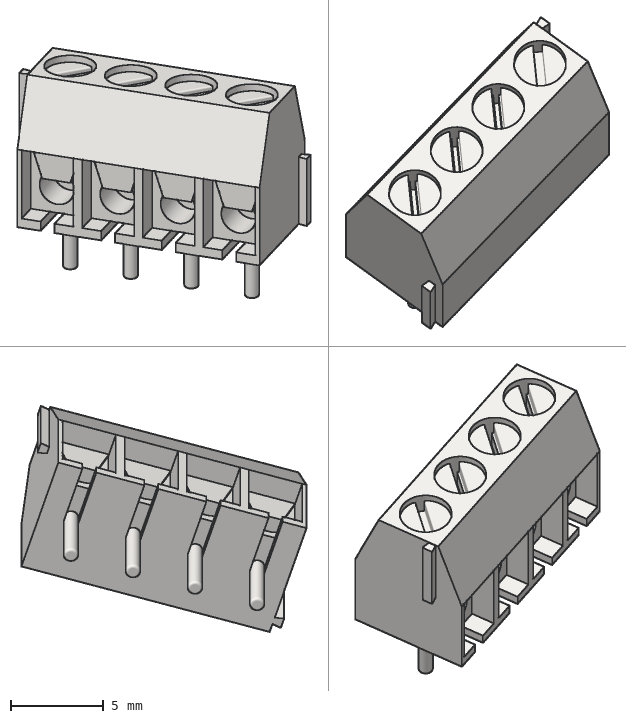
import cadquery as cq
import math

overall_length = 15.0
body_length = 14.0
body_depth = 6.8
body_height = 8.38
shoulder_height = 4.59
roof_depth = 3.8

pole_count = 4
pitch = body_length / pole_count
pole_positions = [(pole - (pole_count - 1) / 2) * pitch for pole in range(pole_count)]
front_y = -body_depth / 2

chamber_width = 3.0
chamber_depth = 1.4
chamber_floor = 0.55
chamber_back_y = front_y + chamber_depth
wire_hole_diameter = 2.0
wire_hole_height = 2.05
wire_hole_depth = -chamber_back_y
guard_bottom = 2.49
guard_bottom_width = 1.62
guard_thickness = 0.1

pin_diameter = 0.8
pin_length = 3.51
pin_rounding = 0.15

screw_diameter = 2.8
screw_recess = 0.4
screw_height = 2.7
screw_top = body_height - screw_recess
slot_width = 0.5
slot_depth = 0.8
slot_rounding = 0.1
channel_depth = 0.9
slot_angle = 45

key_tip_width = 0.6
key_root_width = 0.42
key_tip_land = 0.08
left_key_y = -1.52
left_key_height = 3.98
left_key_drop = 0.03
left_key_bottom = body_height - left_key_drop - left_key_height
right_key_y = 2.67
right_key_height = 3.96


def make_block():
    """Housing block with sloping front and rear shoulders."""
    return (
        cq.Workplane("YZ")
        .moveTo(-body_depth / 2, 0)
        .lineTo(body_depth / 2, 0)
        .lineTo(body_depth / 2, shoulder_height)
        .lineTo(roof_depth / 2, body_height)
        .lineTo(-roof_depth / 2, body_height)
        .lineTo(-body_depth / 2, shoulder_height)
        .close()
        .extrude(body_length / 2, both=True)
    )


def make_key(side, y, bottom, height):
    """Dovetail key on the end at side = -1 or +1, widening away from the housing."""
    root_x = side * body_length / 2
    tip_x = side * overall_length / 2
    land_x = tip_x - side * key_tip_land
    return (
        cq.Workplane("XY", origin=(0, y, bottom))
        .moveTo(root_x, -key_root_width / 2)
        .lineTo(land_x, -key_tip_width / 2)
        .lineTo(tip_x, -key_tip_width / 2)
        .lineTo(tip_x, key_tip_width / 2)
        .lineTo(land_x, key_tip_width / 2)
        .lineTo(root_x, key_root_width / 2)
        .close()
        .extrude(height)
    )


def make_chamber(x):
    """Space of one wire entry: the front chamber and the round wire hole behind it."""
    chamber = (
        cq.Workplane("XY")
        .box(chamber_width, chamber_depth, shoulder_height - chamber_floor, centered=(True, False, False))
        .translate((x, front_y, chamber_floor))
    )
    wire_hole = (
        cq.Workplane("XZ", origin=(x, chamber_back_y, wire_hole_height))
        .circle(wire_hole_diameter / 2)
        .extrude(-wire_hole_depth)
    )
    return chamber.union(wire_hole)


def make_guard(x):
    """Tapered block closing the top of the wire hole and standing slightly out into the chamber."""
    return (
        cq.Workplane("XZ", origin=(x, chamber_back_y - guard_thickness, 0))
        .moveTo(-chamber_width / 2, shoulder_height)
        .lineTo(chamber_width / 2, shoulder_height)
        .lineTo(guard_bottom_width / 2, guard_bottom)
        .lineTo(-guard_bottom_width / 2, guard_bottom)
        .close()
        .extrude(-(guard_thickness + wire_hole_depth))
    )


def make_pin_slot(x):
    """Slot through the chamber floor, open at the front and rounded where the pin sits."""
    straight = (
        cq.Workplane("XY")
        .box(pin_diameter, -front_y, chamber_floor, centered=(True, False, False))
        .translate((x, front_y, 0))
    )
    round_end = cq.Workplane("XY", origin=(x, 0, 0)).circle(pin_diameter / 2).extrude(chamber_floor)
    return straight.union(round_end)


def make_screw_bore(x):
    """Round bore from the roof down to the bottom of the screw."""
    return (
        cq.Workplane("XY", origin=(x, 0, screw_top - screw_height))
        .circle(screw_diameter / 2)
        .extrude(screw_height + screw_recess)
    )


def make_housing():
    housing = make_block()
    housing = housing.union(make_key(-1, left_key_y, left_key_bottom, left_key_height))
    housing = housing.union(make_key(1, right_key_y, 0, right_key_height))
    for x in pole_positions:
        housing = housing.cut(make_chamber(x))
        housing = housing.union(make_guard(x))
        housing = housing.cut(make_pin_slot(x))
        housing = housing.cut(make_screw_bore(x))
    return housing


def make_pin(x):
    """Round solder pin with a rounded tip, reaching up through the housing floor."""
    return (
        cq.Workplane("XY", origin=(x, 0, -pin_length))
        .circle(pin_diameter / 2)
        .extrude(pin_length + chamber_floor)
        .faces("<Z")
        .fillet(pin_rounding)
    )


def make_slot_cutter():
    """Driver slot with rounded upper edges and rounded floor corners, along X from z = 0 down."""
    half_wall = slot_width / 2
    half_floor = half_wall - slot_rounding
    half_mouth = half_wall + slot_rounding
    wall_bottom = slot_rounding - slot_depth
    corner = slot_rounding * math.sqrt(0.5)
    return (
        cq.Workplane("YZ")
        .moveTo(-half_mouth, 0)
        .threePointArc((-half_mouth + corner, corner - slot_rounding), (-half_wall, -slot_rounding))
        .lineTo(-half_wall, wall_bottom)
        .threePointArc((-half_floor - corner, wall_bottom - corner), (-half_floor, -slot_depth))
        .lineTo(half_floor, -slot_depth)
        .threePointArc((half_floor + corner, wall_bottom - corner), (half_wall, wall_bottom))
        .lineTo(half_wall, -slot_rounding)
        .threePointArc((half_mouth - corner, corner - slot_rounding), (half_mouth, 0))
        .close()
        .extrude(screw_diameter, both=True)
    )


def make_channel_cutter():
    """Narrow channel below the slot floor, between its rounded corners."""
    return (
        cq.Workplane("XY", origin=(0, 0, -slot_depth))
        .rect(2 * screw_diameter, slot_width - 2 * slot_rounding)
        .extrude(-channel_depth)
    )


def make_screw(x, has_channel):
    """Slotted screw; the slot runs diagonally and may have a deeper channel along its floor."""
    screw = cq.Workplane("XY").circle(screw_diameter / 2).extrude(-screw_height)
    screw = screw.cut(make_slot_cutter())
    if has_channel:
        screw = screw.cut(make_channel_cutter())
    return screw.rotate((0, 0, 0), (0, 0, 1), slot_angle).translate((x, 0, screw_top))


housing = make_housing()
pins = [make_pin(x) for x in pole_positions]
screws = [make_screw(x, pole > 0) for pole, x in enumerate(pole_positions)]

result = cq.Compound.makeCompound(
    [housing.val(), *[pin.val() for pin in pins], *[screw.val() for screw in screws]]
)